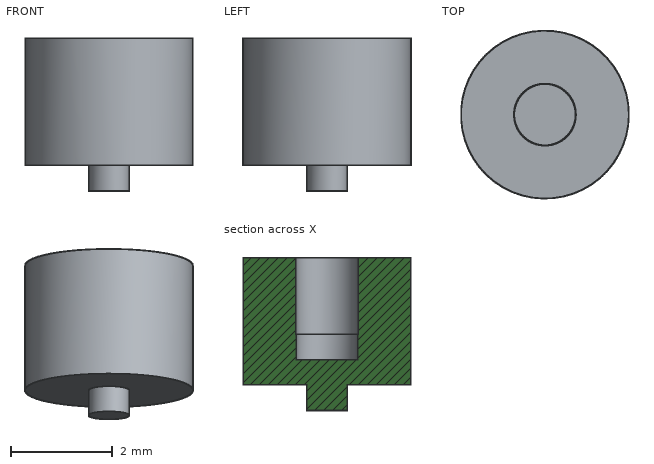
import cadquery as cq

body_diameter = 3.3
overall_height = 3.0
pin_diameter = 0.8
pin_length = 0.5
bore_diameter = 1.22
bore_floor_diameter = 1.2
bore_depth = 2.0
step_height = 0.5

body_height = overall_height - pin_length

body = cq.Workplane("XY").circle(body_diameter / 2).extrude(body_height)

pin = cq.Workplane("XY").circle(pin_diameter / 2).extrude(-pin_length)

bore_floor = body_height - bore_depth
narrow_bore = (
    cq.Workplane("XY").workplane(offset=bore_floor).circle(bore_floor_diameter / 2).extrude(bore_depth)
)
wide_bore = (
    cq.Workplane("XY")
    .workplane(offset=bore_floor + step_height)
    .circle(bore_diameter / 2)
    .extrude(bore_depth - step_height)
)

result = body.union(pin).cut(narrow_bore).cut(wide_bore)